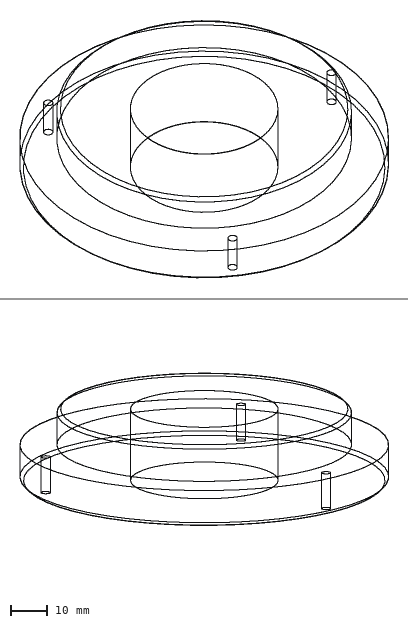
import cadquery as cq

flange_diameter = 100.0
flange_thickness = 10.0
spigot_diameter = 79.9
total_height = 20.0
bore_diameter = 40.0
edge_chamfer = 1.0
screw_hole_diameter = 2.5
screw_circle_diameter = 90.0
screw_hole_count = 3
first_hole_angle = 90.0


def make_flange():
    """Round flange with a chamfered bottom edge."""
    flange = cq.Workplane("XY").circle(flange_diameter / 2).extrude(flange_thickness)
    return flange.faces("<Z").edges().chamfer(edge_chamfer)


def make_spigot():
    """Locating spigot, full height of the part, with a chamfered top edge."""
    spigot = cq.Workplane("XY").circle(spigot_diameter / 2).extrude(total_height)
    return spigot.faces(">Z").edges().chamfer(edge_chamfer)


def make_bore():
    """Central through bore."""
    return cq.Workplane("XY").circle(bore_diameter / 2).extrude(total_height)


def make_screw_holes():
    """Through holes equally spaced on the flange rim."""
    return (
        cq.Workplane("XY")
        .polarArray(screw_circle_diameter / 2, first_hole_angle, 360, screw_hole_count)
        .circle(screw_hole_diameter / 2)
        .extrude(flange_thickness)
    )


result = make_flange().union(make_spigot()).cut(make_bore()).cut(make_screw_holes())